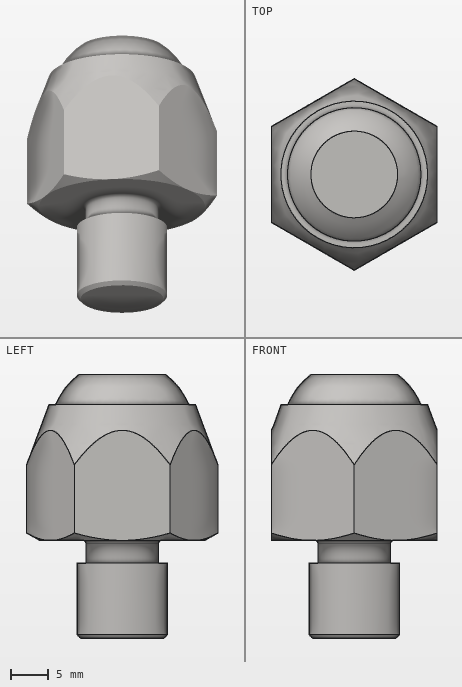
import cadquery as cq
import math

shank_diameter = 12.0
shank_length = 10.0
shank_chamfer = 0.5
neck_diameter = 9.65
neck_length = 3.0
neck_fillet = 0.4

hexagon_sides = 6
across_flats = 22.0
body_height = 18.0
body_top_diameter = 19.45
upper_cone_angle = 20.5
lower_chamfer_angle = 30.0
corner_clearance = 1.0

cap_height = 4.0
cap_base_diameter = 17.7
cap_flat_diameter = 11.5

half_side_angle = 180 / hexagon_sides
body_bottom = shank_length + neck_length
body_top = body_bottom + body_height
across_corners = across_flats / math.cos(math.radians(half_side_angle))
blank_radius = across_corners / 2 + corner_clearance


def make_shank():
    """Plain cylinder with a chamfered lower end."""
    shank = cq.Workplane("XY").circle(shank_diameter / 2).extrude(shank_length)
    return shank.faces("<Z").chamfer(shank_chamfer)


def make_body():
    """Hexagon with corners on +Y and -Y, trimmed by a cone at each end."""
    hexagon = (
        cq.Workplane("XY", origin=(0, 0, body_bottom))
        .polygon(hexagon_sides, across_corners)
        .extrude(body_height)
        .rotate((0, 0, 0), (0, 0, 1), half_side_angle)
    )
    top_radius = body_top_diameter / 2
    bottom_radius = across_flats / 2
    upper_drop = (blank_radius - top_radius) / math.tan(math.radians(upper_cone_angle))
    lower_rise = (blank_radius - bottom_radius) * math.tan(math.radians(lower_chamfer_angle))
    envelope = (
        cq.Workplane("XZ")
        .moveTo(0, body_bottom)
        .lineTo(bottom_radius, body_bottom)
        .lineTo(blank_radius, body_bottom + lower_rise)
        .lineTo(blank_radius, body_top - upper_drop)
        .lineTo(top_radius, body_top)
        .lineTo(0, body_top)
        .close()
        .revolve(360, (0, 0), (0, 1))
    )
    return hexagon.intersect(envelope)


def make_neck():
    """Undercut below the body, flaring into it with a concave fillet."""
    radius = neck_diameter / 2
    fillet_offset = neck_fillet * (1 - math.sqrt(0.5))
    return (
        cq.Workplane("XZ")
        .moveTo(0, shank_length)
        .lineTo(radius, shank_length)
        .lineTo(radius, body_bottom - neck_fillet)
        .threePointArc(
            (radius + fillet_offset, body_bottom - fillet_offset),
            (radius + neck_fillet, body_bottom),
        )
        .lineTo(0, body_bottom)
        .close()
        .revolve(360, (0, 0), (0, 1))
    )


def make_cap():
    """Spherical zone on top of the body, cut off by a flat."""
    base_radius = cap_base_diameter / 2
    flat_radius = cap_flat_diameter / 2
    centre_height = (cap_height**2 + flat_radius**2 - base_radius**2) / (2 * cap_height)
    sphere_radius = math.hypot(base_radius, centre_height)
    middle_height = cap_height / 2
    middle_radius = math.sqrt(sphere_radius**2 - (middle_height - centre_height) ** 2)
    return (
        cq.Workplane("XZ")
        .moveTo(0, body_top)
        .lineTo(base_radius, body_top)
        .threePointArc(
            (middle_radius, body_top + middle_height),
            (flat_radius, body_top + cap_height),
        )
        .lineTo(0, body_top + cap_height)
        .close()
        .revolve(360, (0, 0), (0, 1))
    )


result = make_shank().union(make_neck()).union(make_body()).union(make_cap())